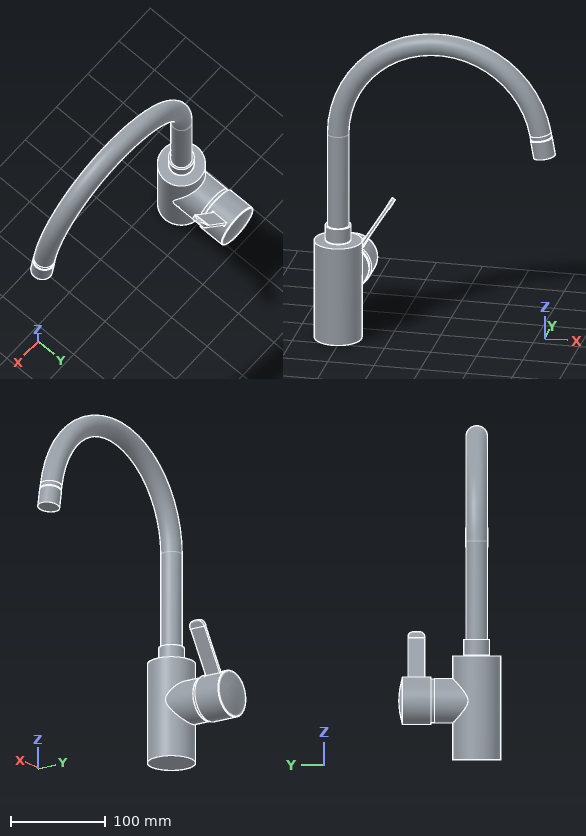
import cadquery as cq
import math

base_diameter = 51.0
base_radius = base_diameter / 2
base_height = 110.0

valve_height = 62.5
neck_diameter = 47.5
neck_end = 44.5
neck_step_diameter = 46.5

cap_diameter = 50.6
cap_start = 48.5
cap_end = 79.0
dome_rise = 3.55
dome_radius = 23.5
dome_sphere_radius = (dome_radius**2 + dome_rise**2) / (2 * dome_rise)
rim_chamfer = 0.7

lever_angle = 58.0
lever_y = (cap_start + cap_end) / 2
lever_width = 18.0
lever_thickness = 3.0
lever_seat = 20.0
lever_reach = 85.4
slot_clearance = 1.0
slot_width = lever_width + 2 * slot_clearance
slot_thickness = lever_thickness + 2 * slot_clearance
tip_length = 8.0
tip_thickness = 4.0
tip_corner_radius = 7.0
tip_edge_radius = 1.2

collar_diameter = 27.5
collar_height = 17.5
collar_foot_diameter = 26.5
collar_foot_height = 0.8

spout_diameter = 23.0
spout_radius = spout_diameter / 2
spout_top = 353.45
arch_radius = 110.4
arch_height = spout_top - arch_radius - spout_radius
outlet_tilt = 10.0
tilt = math.radians(outlet_tilt)
outlet_direction = cq.Vector(math.sin(tilt), 0, -math.cos(tilt))
arch_end = cq.Vector(
    arch_radius * (1 + math.cos(tilt)), 0, arch_height + arch_radius * math.sin(tilt)
)

ring_length = 4.9
nozzle_length = 20.0
nozzle_diameter = 23.5
groove_diameter = 22.0
groove_length = 0.8


def y_cylinder(diameter, start, end):
    """Cylinder on the valve axis, between two Y positions."""
    plane = cq.Plane(origin=(0, start, valve_height), xDir=(1, 0, 0), normal=(0, 1, 0))
    return cq.Workplane(plane).circle(diameter / 2).extrude(end - start)


def make_base():
    column = cq.Workplane("XY").circle(base_radius).extrude(base_height)
    neck = y_cylinder(neck_diameter, 0, neck_end)
    step = y_cylinder(neck_step_diameter, neck_end, cap_start)
    return column.union(neck).union(step)


def lever_bar(thickness, start, end, width=lever_width):
    """Bar along +Z, still upright, between two distances from the valve axis."""
    return cq.Workplane("XY", origin=(0, 0, start)).rect(thickness, width).extrude(end - start)


def set_in_place(upright_part):
    """Lean an upright lever part toward +X and move it onto the valve axis."""
    leaning = upright_part.rotate((0, 0, 0), (0, 1, 0), 90 - lever_angle)
    return leaning.translate((0, lever_y, valve_height))


def make_lever():
    bar = lever_bar(lever_thickness, lever_seat, lever_reach - tip_length)
    tip_blank = lever_bar(tip_thickness, lever_reach - tip_length, lever_reach)
    rounded_corners = tip_blank.faces(">Z").edges("|X").fillet(tip_corner_radius)
    rounded_edges = tip_blank.faces(">Z").edges("|Y").fillet(tip_edge_radius)
    tip = rounded_corners.intersect(rounded_edges)
    return set_in_place(bar.union(tip))


def make_cap():
    barrel = y_cylinder(cap_diameter, cap_start, cap_end).faces(">Y").chamfer(rim_chamfer)
    dome = (
        cq.Workplane("XY")
        .moveTo(0, cap_end)
        .lineTo(dome_radius, cap_end)
        .radiusArc((0, cap_end + dome_rise), -dome_sphere_radius)
        .close()
        .revolve(360, (0, 0), (0, 1))
        .translate((0, 0, valve_height))
    )
    slot = set_in_place(lever_bar(slot_thickness, lever_seat, lever_reach, slot_width))
    return barrel.union(dome).cut(slot)


def make_collar():
    foot = cq.Workplane("XY", origin=(0, 0, base_height))
    foot = foot.circle(collar_foot_diameter / 2).extrude(collar_foot_height)
    sleeve = cq.Workplane("XY", origin=(0, 0, base_height + collar_foot_height))
    sleeve = sleeve.circle(collar_diameter / 2).extrude(collar_height - collar_foot_height)
    return foot.union(sleeve)


def outlet_cylinder(diameter, start, length):
    """Cylinder on the outlet axis, starting a distance past the end of the arch."""
    origin = arch_end + outlet_direction * start
    plane = cq.Plane(origin=origin, xDir=(0, 1, 0), normal=outlet_direction)
    return cq.Workplane(plane).circle(diameter / 2).extrude(length)


def make_spout():
    start = base_height + collar_height
    arch_crown = (arch_radius, arch_height + arch_radius)
    centre_line = (
        cq.Workplane("XZ")
        .moveTo(0, start)
        .lineTo(0, arch_height)
        .threePointArc(arch_crown, (arch_end.x, arch_end.z))
    )
    return cq.Workplane("XY", origin=(0, 0, start)).circle(spout_radius).sweep(centre_line)


def make_aerator():
    ring = outlet_cylinder(spout_diameter, 0, ring_length)
    groove = outlet_cylinder(groove_diameter, ring_length, groove_length)
    nozzle = outlet_cylinder(nozzle_diameter, ring_length + groove_length, nozzle_length)
    return ring.union(groove).union(nozzle)


base = make_base()
cap = make_cap()
lever = make_lever()
collar = make_collar()
spout = make_spout()
aerator = make_aerator()

result = cq.Compound.makeCompound(
    [base.val(), cap.val(), lever.val(), collar.val(), spout.val(), aerator.val()]
)